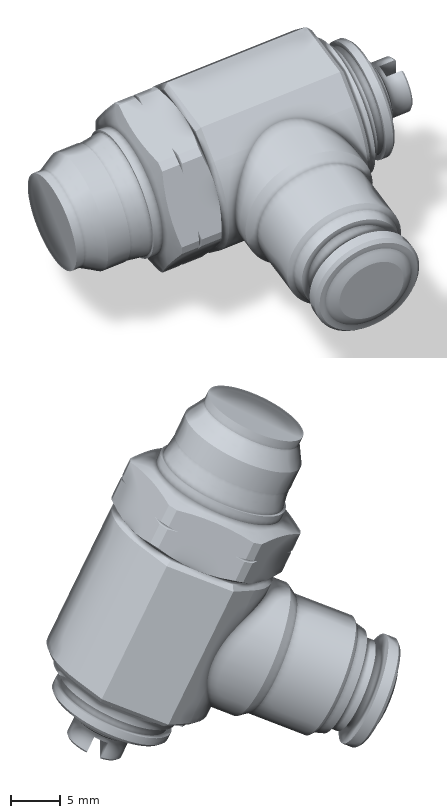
import cadquery as cq
import math


total_length = 39.85
branch_tilt = 5.6
branch_y = 23.6

tip_radius = 5.35
tip_end = 1.0
thread_radius = 6.5
lead_in_end = 3.03
thread_end = 5.58
sealant_start_radius = 6.4
sealant_end_radius = 6.75
sealant_end = 7.95
collar_radius = 7.0

hex_start = 9.0
hex_end = 15.05
hex_flats = 16.95
hex_corners = 18.95
hex_front_angle = 20.0
hex_rear_angle = 30.0
notch_y = 12.05
notch_depth = 0.45
notch_width = 0.48

body_end = 32.05
body_radius = 9.0
body_chamfer = 0.5

clip_end = 33.1
clip_radius = 7.53
clip_opening_z = -3.1

cap_radius = 6.5
cap_groove_radius = 5.95
cap_groove_start = 33.9
cap_groove_end = 34.85
cap_end = 36.05
cap_chamfer = 0.35
shoulder_base_radius = 4.3
shoulder_foot_radius = 4.1
shoulder_foot_end = 36.3
shoulder_top_radius = 3.95
shoulder_end = 37.0
stem_start = 37.4
stem_radius = 3.03
stem_chamfer = 0.25
slot_width = 1.55
slot_depth = 1.95

socket_radius = 7.3
socket_end = 11.27
sleeve_radius = 6.55
sleeve_start = 12.4
sleeve_end = 18.95
sleeve_chamfer_end = 19.45
guide_base_radius = 6.0
guide_tip_radius = 5.7
guide_end = 20.6
guide_step_radius = 4.98
guide_step_end = 21.9
neck_radius = 4.02
flange_start = 22.85
neck_fillet = 0.35
flange_radius = 5.98
flange_end = 24.4
flange_chamfer = 0.35
nose_base_radius = 4.9
nose_radius = 3.65
nose_end = 25.0
nose_bulge = 0.05


def revolve_about_y(outline):
    """Revolve (radius, y) points, closed along the axis, about the Y axis."""
    first_y = outline[0][1]
    last_y = outline[-1][1]
    profile = [(0, first_y)] + outline + [(0, last_y)]
    return cq.Workplane("XY").polyline(profile).close().revolve(360, (0, 0), (0, 1))


def plane_at(y):
    """Cross-section plane at the given Y; negative extrusions run towards +Y."""
    return cq.Workplane("XZ", origin=(0, y, 0))


def make_thread():
    return revolve_about_y([
        (tip_radius, 0),
        (tip_radius, tip_end),
        (thread_radius, lead_in_end),
        (thread_radius, thread_end),
        (sealant_start_radius, thread_end),
        (sealant_end_radius, sealant_end),
        (collar_radius, sealant_end),
        (collar_radius, hex_start),
    ])


def make_hexagon():
    length = hex_end - hex_start
    across_corners_ratio = 1 / math.cos(math.radians(30))
    prism = plane_at(hex_start).polygon(6, hex_flats * across_corners_ratio).extrude(-length)
    corner_cut = plane_at(hex_start).polygon(6, hex_corners * across_corners_ratio).extrude(-length)
    corner_cut = corner_cut.rotate((0, 0, 0), (0, 1, 0), 30)

    envelope_radius = hex_flats / 2 * across_corners_ratio
    rear_radius = hex_flats / 2
    front_rise = (envelope_radius - collar_radius) * math.tan(math.radians(hex_front_angle))
    rear_rise = (envelope_radius - rear_radius) * math.tan(math.radians(hex_rear_angle))
    envelope = revolve_about_y([
        (collar_radius, hex_start),
        (envelope_radius, hex_start + front_rise),
        (envelope_radius, notch_y - notch_width / 2),
        (hex_corners / 2 - notch_depth, notch_y),
        (envelope_radius, notch_y + notch_width / 2),
        (envelope_radius, hex_end - rear_rise),
        (rear_radius, hex_end),
    ])
    return prism.intersect(corner_cut).intersect(envelope)


def make_body():
    """Cylinder with three tangent flats, 45 degrees apart, on its top and its bottom."""
    flat_half = body_radius * math.tan(math.radians(22.5))
    tangent = body_radius * math.sin(math.radians(45))
    profile = (
        plane_at(hex_end)
        .moveTo(tangent, -tangent)
        .threePointArc((body_radius, 0), (tangent, tangent))
        .lineTo(flat_half, body_radius)
        .lineTo(-flat_half, body_radius)
        .lineTo(-tangent, tangent)
        .threePointArc((-body_radius, 0), (-tangent, -tangent))
        .lineTo(-flat_half, -body_radius)
        .lineTo(flat_half, -body_radius)
        .close()
    )
    body = profile.extrude(hex_end - body_end)
    return body.faces("<Y or >Y").chamfer(body_chamfer)


def make_clip():
    clip = plane_at(body_end).circle(clip_radius).extrude(body_end - clip_end)
    opening = (
        plane_at(body_end)
        .center(0, clip_opening_z - clip_radius)
        .rect(2 * clip_radius, 2 * clip_radius)
        .extrude(body_end - clip_end)
    )
    return clip.cut(opening)


def make_cap():
    cap = revolve_about_y([
        (cap_groove_radius, body_end),
        (cap_groove_radius, clip_end),
        (cap_radius, clip_end),
        (cap_radius, cap_groove_start),
        (cap_groove_radius, cap_groove_start),
        (cap_groove_radius, cap_groove_end),
        (cap_radius, cap_groove_end),
        (cap_radius, cap_end - cap_chamfer),
        (cap_radius - cap_chamfer, cap_end),
        (shoulder_base_radius, cap_end),
        (shoulder_foot_radius, shoulder_foot_end),
        (shoulder_top_radius, shoulder_end),
        (stem_radius, stem_start),
        (stem_radius, total_length - stem_chamfer),
        (stem_radius - stem_chamfer, total_length),
    ])
    slot = (
        plane_at(total_length - slot_depth)
        .rect(slot_width, 2 * stem_radius)
        .extrude(-slot_depth)
    )
    return cap.cut(slot)


def make_branch():
    """Branch revolved about the X axis; the profile points are (x, radius)."""
    nose_middle = (
        (flange_end + nose_end) / 2 + nose_bulge,
        (nose_base_radius + nose_radius) / 2 + nose_bulge,
    )
    fillet_reach = neck_fillet * (1 - math.sin(math.radians(45)))
    fillet_middle = (flange_start - fillet_reach, neck_radius + fillet_reach)
    profile = (
        cq.Workplane("XY")
        .lineTo(0, socket_radius)
        .lineTo(socket_end, socket_radius)
        .lineTo(sleeve_start, sleeve_radius)
        .lineTo(sleeve_end, sleeve_radius)
        .lineTo(sleeve_chamfer_end, guide_base_radius)
        .lineTo(guide_end, guide_tip_radius)
        .lineTo(guide_end, guide_step_radius)
        .lineTo(guide_step_end, guide_step_radius)
        .lineTo(guide_step_end, neck_radius)
        .lineTo(flange_start - neck_fillet, neck_radius)
        .threePointArc(fillet_middle, (flange_start, neck_radius + neck_fillet))
        .lineTo(flange_start, flange_radius)
        .lineTo(flange_end - flange_chamfer, flange_radius)
        .lineTo(flange_end, flange_radius - flange_chamfer)
        .lineTo(flange_end, nose_base_radius)
        .threePointArc(nose_middle, (nose_end, nose_radius))
        .lineTo(nose_end, 0)
        .close()
    )
    return profile.revolve(360, (0, 0), (1, 0)).translate((0, branch_y, 0))


tilted = make_body().union(make_branch()).rotate((0, 0, 0), (0, 1, 0), -branch_tilt)
result = make_thread().union(make_hexagon()).union(tilted).union(make_cap()).union(make_clip())